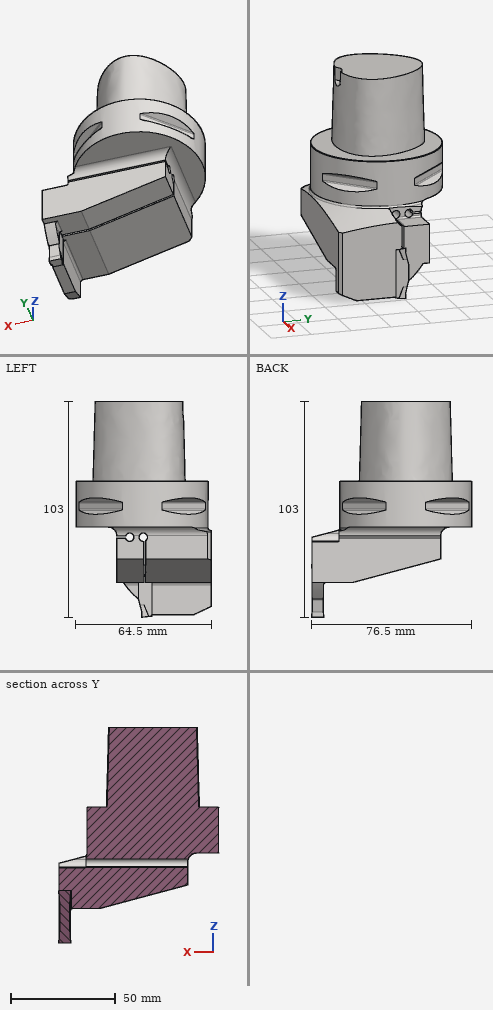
import cadquery as cq
import math


shank_height = 38.0
shank_base_radius = 22.0
shank_top_radius = 21.0
shank_lobe = 1.4
shank_outline_points = 96
drill_radius = 5.4
drill_axis_y = -22.9
drill_depth = 6.4
drill_tip_height = 4.1

flange_radius = 63.0 / 2
flange_height = 22.0
flange_chamfer = 0.3
groove_center_z = -11.9
groove_floor_width = 3.7
groove_floor_distance = 27.9
groove_floor_fillet = 0.6
groove_side_angle = 30
groove_count = 4
first_groove_angle = 45

arm_left = -16.7
arm_right = 44.8
arm_front = -33.0
arm_back = 12.2
arm_bottom = -48.4
arm_slope_end_x = 25.2
arm_slope_angle = 15
arm_left_chamfer = 1.8
arm_right_chamfer = 1.5
arm_root_fillet = 4.0
shoulder_angle = 15
shoulder_edge_z = -23.2
shoulder_fillet = 1.0

blade_left = 39.2
blade_bottom = -63.9
blade_fillet = 1.2
blade_back_top_y = 9.0
blade_back_mid = (5.5, -52.8)
blade_back_low_z = -56.3
blade_chamfer_y = -24.4
blade_chamfer_z = -59.8

bore_radius = 2.0
bore_z = -26.8
outer_bore_y = 6.0
inner_bore_y = -0.5
slot_width = 0.9
jaw_slot_y = -1.2
jaw_step_x = 31.9
jaw_step_fillet = 0.8
jaw_top_z = -29.0
jaw_wall_y = -4.0
jaw_wall_fillet = 4.0

insert_tip_z = -65.0
insert_length = 25.1
insert_middle_z = insert_tip_z + insert_length / 2
insert_width = 6.0
insert_core_width = 4.9
insert_center_x = 42.0
insert_face_y = 1.8
insert_face_end_z = -56.6
insert_edge_y = 0.2
insert_rake_z = -62.5
insert_back_y = -4.6
insert_heel_z = -64.5
head_top_z = -59.2
head_corner_y = -0.9
head_heel_y = -3.3

REACH = 103.0
CLEARANCE = 1.0


def shank_outline(radius):
    """Three-lobed curve with one lobe pointing toward +Y."""
    def point(turn):
        angle = 2 * math.pi * turn
        x = radius * math.sin(angle) - shank_lobe * math.sin(2 * angle)
        y = radius * math.cos(angle) + shank_lobe * math.cos(2 * angle)
        return (x, y)
    return point


def make_shank():
    body = (
        cq.Workplane("XY")
        .parametricCurve(shank_outline(shank_base_radius), N=shank_outline_points)
        .workplane(offset=shank_height)
        .parametricCurve(shank_outline(shank_top_radius), N=shank_outline_points)
        .loft()
    )
    notch_z = shank_height - drill_depth
    drill = (
        cq.Workplane("XZ")
        .moveTo(0, notch_z - drill_tip_height)
        .lineTo(drill_radius, notch_z)
        .lineTo(drill_radius, shank_height + CLEARANCE)
        .lineTo(0, shank_height + CLEARANCE)
        .close()
        .revolve(360, (0, 0), (0, 1))
        .translate((0, drill_axis_y, 0))
    )
    return body.cut(drill)


def make_flange():
    flange = (
        cq.Workplane("XY")
        .circle(flange_radius)
        .extrude(-flange_height)
        .faces(">Z")
        .edges()
        .chamfer(flange_chamfer)
    )
    depth = flange_radius + CLEARANCE - groove_floor_distance
    floor_half = groove_floor_width / 2
    mouth_half = floor_half + depth * math.tan(math.radians(groove_side_angle))
    groove = (
        cq.Workplane("XZ")
        .moveTo(groove_floor_distance, groove_center_z - floor_half)
        .lineTo(groove_floor_distance + depth, groove_center_z - mouth_half)
        .lineTo(groove_floor_distance + depth, groove_center_z + mouth_half)
        .lineTo(groove_floor_distance, groove_center_z + floor_half)
        .close()
        .extrude(flange_radius, both=True)
        .faces("<X")
        .edges("|Y")
        .fillet(groove_floor_fillet)
    )
    for index in range(groove_count):
        angle = first_groove_angle + index * 360 / groove_count
        flange = flange.cut(groove.rotate((0, 0, 0), (0, 0, 1), angle))
    return flange


def arm_long_profile():
    """Prism along Y: sloping underside, hanging blade and flared left root."""
    flare_z = -flange_height - arm_root_fillet
    slope = math.tan(math.radians(arm_slope_angle))
    left_bottom_z = arm_bottom + (arm_slope_end_x - arm_left) * slope
    return (
        cq.Workplane("XZ")
        .moveTo(arm_left - arm_root_fillet, -flange_height)
        .radiusArc((arm_left, flare_z), arm_root_fillet)
        .lineTo(arm_left, left_bottom_z)
        .lineTo(arm_slope_end_x, arm_bottom)
        .lineTo(blade_left - blade_fillet, arm_bottom)
        .radiusArc((blade_left, arm_bottom - blade_fillet), blade_fillet)
        .lineTo(blade_left, blade_bottom)
        .lineTo(arm_right, blade_bottom)
        .lineTo(arm_right, -flange_height)
        .close()
        .extrude(REACH, both=True)
    )


def arm_cross_profile():
    """Prism along X: flared back root, tapering blade and chamfered blade corner."""
    flare_z = -flange_height - arm_root_fillet
    return (
        cq.Workplane("YZ")
        .moveTo(arm_back + arm_root_fillet, -flange_height)
        .radiusArc((arm_back, flare_z), -arm_root_fillet)
        .lineTo(arm_back, arm_bottom)
        .lineTo(blade_back_top_y, arm_bottom)
        .threePointArc(blade_back_mid, (insert_face_y, blade_back_low_z))
        .lineTo(insert_back_y, blade_bottom)
        .lineTo(blade_chamfer_y, blade_bottom)
        .lineTo(arm_front, blade_chamfer_z)
        .lineTo(arm_front, -flange_height)
        .close()
        .extrude(REACH, both=True)
    )


def arm_plan():
    """Prism along Z: the two chamfered front corners."""
    return (
        cq.Workplane("XY")
        .moveTo(arm_left - arm_root_fillet, arm_front + arm_left_chamfer + arm_root_fillet)
        .lineTo(arm_left - arm_root_fillet, REACH)
        .lineTo(arm_right, REACH)
        .lineTo(arm_right, arm_front + arm_right_chamfer)
        .lineTo(arm_right - arm_right_chamfer, arm_front)
        .lineTo(arm_left + arm_left_chamfer, arm_front)
        .close()
        .extrude(-REACH)
    )


def shoulder_envelope():
    """Cone that limits the top of the arm, blended into the flange cylinder."""
    slope = math.radians(shoulder_angle)
    blend = shoulder_fillet * math.tan((math.pi / 2 - slope) / 2)
    blend_end = (flange_radius + blend * math.cos(slope), shoulder_edge_z - blend * math.sin(slope))
    cone_edge_z = shoulder_edge_z - (REACH - flange_radius) * math.tan(slope)
    return (
        cq.Workplane("XZ")
        .moveTo(0, -flange_height)
        .lineTo(flange_radius, -flange_height)
        .lineTo(flange_radius, shoulder_edge_z + blend)
        .radiusArc(blend_end, -shoulder_fillet)
        .lineTo(REACH, cone_edge_z)
        .lineTo(REACH, -REACH)
        .lineTo(0, -REACH)
        .close()
        .revolve(360, (0, 0), (0, 1))
    )


def make_arm():
    arm = arm_long_profile().intersect(arm_cross_profile())
    return arm.intersect(arm_plan()).intersect(shoulder_envelope())


def jaw_clearance():
    """Space above the exposed jaw, rounded into its wall and its step."""
    across = (
        cq.Workplane("YZ")
        .moveTo(jaw_wall_y, 0)
        .lineTo(jaw_wall_y, jaw_top_z + jaw_wall_fillet)
        .radiusArc((jaw_wall_y + jaw_wall_fillet, jaw_top_z), -jaw_wall_fillet)
        .lineTo(REACH, jaw_top_z)
        .lineTo(REACH, 0)
        .close()
        .extrude(REACH)
    )
    along = (
        cq.Workplane("XZ")
        .moveTo(jaw_step_x, 0)
        .lineTo(jaw_step_x, jaw_top_z + jaw_step_fillet)
        .radiusArc((jaw_step_x + jaw_step_fillet, jaw_top_z), -jaw_step_fillet)
        .lineTo(REACH, jaw_top_z)
        .lineTo(REACH, 0)
        .close()
        .extrude(REACH, both=True)
    )
    return across.intersect(along)


def jaw_slots():
    """Two relief bores along X, each with a saw slot that frees the jaw."""
    bores = (
        cq.Workplane("YZ")
        .pushPoints([(outer_bore_y, bore_z), (inner_bore_y, bore_z)])
        .circle(bore_radius)
        .extrude(REACH, both=True)
    )
    back_slot = cq.Workplane("XY").box(2 * REACH, REACH, slot_width, centered=(True, False, True))
    back_slot = back_slot.translate((0, outer_bore_y, bore_z))
    slot_depth = bore_z - arm_bottom + blade_fillet
    down_slot = cq.Workplane("XY").box(2 * REACH, slot_width, slot_depth, centered=(True, True, False))
    down_slot = down_slot.translate((0, jaw_slot_y, bore_z - slot_depth))
    return bores.union(back_slot).union(down_slot)


def insert_bar(width):
    """Plain bar of the given width with the insert's double-ended side outline."""
    half = (
        cq.Workplane("YZ")
        .moveTo(insert_face_y, insert_middle_z)
        .lineTo(insert_face_y, insert_face_end_z)
        .lineTo(insert_edge_y, insert_rake_z)
        .lineTo(insert_edge_y, insert_tip_z)
        .lineTo(insert_back_y, insert_heel_z)
        .lineTo(insert_back_y, insert_middle_z)
        .close()
        .extrude(width / 2, both=True)
        .translate((insert_center_x, 0, 0))
    )
    return with_upper_end(half)


def with_upper_end(half):
    """Add the mirror image of a lower half, turning one insert end into two."""
    return half.union(half.mirror("XY", (0, 0, insert_middle_z)))


def insert_head():
    """Lower cutting head, widening evenly toward the cutting edge."""
    side = (
        cq.Workplane("YZ")
        .moveTo(insert_face_y, head_top_z)
        .lineTo(head_corner_y, head_top_z)
        .lineTo(head_heel_y, insert_tip_z)
        .lineTo(insert_face_y, insert_tip_z)
        .close()
        .extrude(REACH)
    )
    wedge = (
        cq.Workplane("XZ")
        .moveTo(insert_center_x - insert_core_width / 2, head_top_z)
        .lineTo(insert_center_x - insert_width / 2, insert_tip_z)
        .lineTo(insert_center_x + insert_width / 2, insert_tip_z)
        .lineTo(insert_center_x + insert_core_width / 2, head_top_z)
        .close()
        .extrude(REACH, both=True)
    )
    return insert_bar(insert_width).intersect(side).intersect(wedge)


def seat_relief():
    """Opening in the blade's root fillet where the insert seat passes through it."""
    width = insert_face_y - insert_back_y
    relief = cq.Workplane("XY").box(blade_fillet, width, blade_fillet, centered=False)
    return relief.translate((blade_left - blade_fillet, insert_back_y, arm_bottom - blade_fillet))


def make_holder():
    body = make_flange().union(make_shank()).union(make_arm())
    body = body.cut(jaw_clearance()).cut(jaw_slots())
    return body.cut(insert_bar(insert_width)).cut(seat_relief())


def make_insert():
    return insert_bar(insert_core_width).union(with_upper_end(insert_head()))


holder = make_holder()
insert = make_insert()

result = cq.Compound.makeCompound([holder.solids().val(), insert.solids().val()])